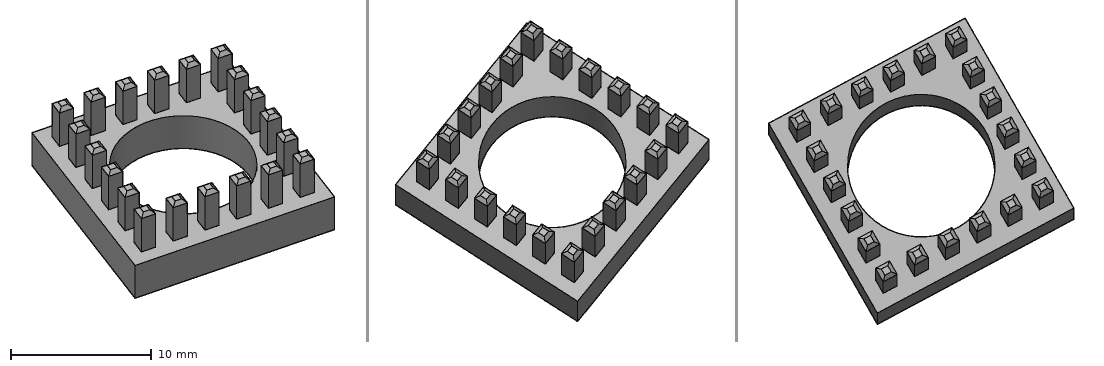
import cadquery as cq

base_side = 16.0
base_height = 3.14
opening_diameter = 10.5

pins_per_side = 6
pin_pitch = 2.55
pin_side = 1.14
tip_side = 0.53
tip_height = 0.27
total_height = 6.6
shank_height = total_height - base_height - tip_height


def make_base():
    """Plate resting on Z = 0, centred on the Z axis, with the opening cut through."""
    return (
        cq.Workplane("XY")
        .rect(base_side, base_side)
        .circle(opening_diameter / 2)
        .extrude(base_height)
    )


def pin_centers():
    """Centres of the outermost places of a square grid."""
    last = pins_per_side - 1
    first_place = -last * pin_pitch / 2
    centers = []
    for column in range(pins_per_side):
        for row in range(pins_per_side):
            if column in (0, last) or row in (0, last):
                centers.append((first_place + column * pin_pitch, first_place + row * pin_pitch))
    return centers


def make_shanks():
    """Straight lower stretches of all pins."""
    return (
        cq.Workplane("XY", origin=(0, 0, base_height))
        .pushPoints(pin_centers())
        .rect(pin_side, pin_side)
        .extrude(shank_height)
    )


def make_tip(center):
    """Truncated pyramid that closes one pin."""
    x, y = center
    return (
        cq.Workplane("XY", origin=(x, y, base_height + shank_height))
        .rect(pin_side, pin_side)
        .workplane(offset=tip_height)
        .rect(tip_side, tip_side)
        .loft(ruled=True)
    )


result = make_base().union(make_shanks())
for pin_center in pin_centers():
    result = result.union(make_tip(pin_center))